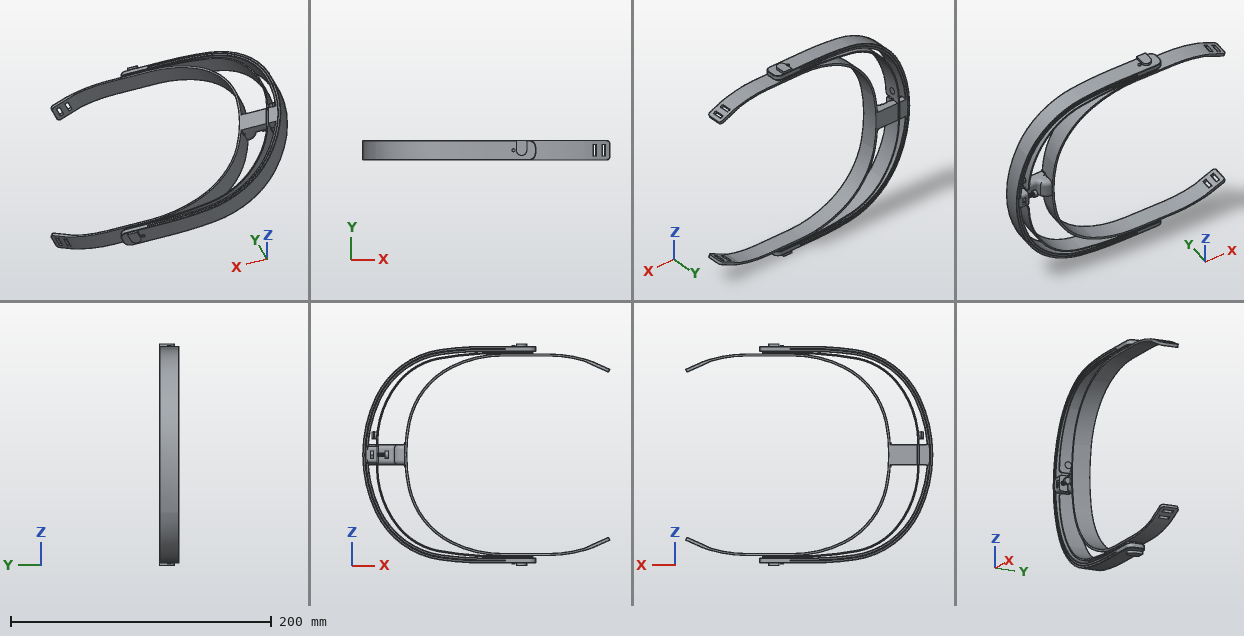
import cadquery as cq
import math

band_height = 15.0
overall_length = 189.75
far_x = 230.0
mid_y = band_height / 2

arm_outer_z = 83.19
frame_thickness = 4.0
leaf_thickness = 1.75
arm_inner_z = arm_outer_z - frame_thickness
arm_end_x = 132.9
arm_corner_radius = 5.2
slit_end_x = 109.4
edge_chamfer = 0.4

strip_outer_z = 78.7
strip_thickness = 1.1
strip_center_x = 10.5
strip_end_x = 130.6
strip_corner_radius = 5.0
strip_notch_depth = 8.5
strip_notch_half_width = 8.4
strip_notch_rounding = 2.5

headband_outer_z = 77.4
headband_thickness = 1.65
headband_center_x = 32.3
headband_straight_end_x = 142.6
tip_arc_radius = 100.0
tip_corner_radius = 2.5
tip_pad_thickness = 0.8
tip_ramp_start_x = 170.6
tip_ramp_middle_x = 172.9
tip_start_x = 176.3
strap_slot_length = 8.5
strap_slot_width = 2.7
strap_slot_offsets = (4.9, 12.4)

hub_half_width = 7.8
hub_rounding = 3.5
hub_flare = 1.6
block_start_x = 22.0
block_front_rounding = 2.3
block_depth = 4.2
lug_end_x = 11.1
lug_half_width = 6.3
lug_rounding = 2.1
clamp_groove_width = 1.2
clamp_groove_depth = 1.0
strip_slot_clearance = 0.3

bolt_diameter = 3.0
bolt_hole_diameter = 3.5
bolt_head_diameter = 5.5
bolt_head_start_x = 17.1
bolt_head_length = 2.6
bolt_channel_diameter = 6.5
bolt_y = bolt_channel_diameter / 2
bolt_end_x = 5.2
thread_pitch = 0.5
thread_core_diameter = 2.35
nut_start_x = 6.0
nut_thickness = 2.4
nut_across_flats = 5.5

knob_z = 14.9
knob_end_x = 7.1
knob_diameter = 5.5
knob_flange_diameter = 6.0
knob_flange_start_x = 8.2
knob_flange_thickness = 0.8

button_x = 122.0
button_width = 8.0
button_thickness = 2.0
peg_x = 115.8
peg_diameter = 2.35
peg_projection = 0.5

sides = (1, -1)

frame_curve = {"start_x": 0.0, "outer_z": arm_outer_z, "arcs": [(102.7, 25.7), (65.1, 81.9)]}
strip_curve = {
    "start_x": strip_center_x, "outer_z": strip_outer_z, "arcs": [(600.0, 1.0), (74.3, 38.8), (52.4, 79.7)],
}
headband_curve = {
    "start_x": headband_center_x, "outer_z": headband_outer_z, "arcs": [(124.3, 11.5), (62.3, 63.3)],
}
quarter_turn = math.pi / 2


def arc_points(curve):
    """Start of the upper half of a curve, then the middle and the end of each of its arcs."""
    x = curve["start_x"]
    z = 0.0
    turned = 0.0
    points = [(x, z)]
    arcs = [(radius, math.radians(degrees)) for radius, degrees in curve["arcs"]]
    for radius, end_angle in arcs + [(None, quarter_turn)]:
        if radius is None:
            radius = (curve["outer_z"] - z) / (1 - math.sin(turned))
        center_x = x + radius * math.cos(turned)
        center_z = z - radius * math.sin(turned)
        for angle in ((turned + end_angle) / 2, end_angle):
            points.append((center_x - radius * math.cos(angle), center_z + radius * math.sin(angle)))
        x, z = points[-1]
        turned = end_angle
    return points


def bow_region(curve, inset):
    """Everything inside a U-shaped curve, moved inwards by `inset`, over the full band height."""
    upper = arc_points(curve)
    lower = [(x, -z) for x, z in reversed(upper)]
    outline = cq.Workplane("XZ").moveTo(*upper[0])
    for middle, end in zip(upper[1::2], upper[2::2]):
        outline = outline.threePointArc(middle, end)
    outline = outline.lineTo(far_x, upper[-1][1]).lineTo(far_x, lower[0][1]).lineTo(*lower[0])
    for middle, end in zip(lower[1::2], lower[2::2]):
        outline = outline.threePointArc(middle, end)
    outline = outline.close()
    if inset:
        outline = outline.offset2D(-inset)
    return outline.extrude(-band_height)


def bow(curve, start_inset, end_inset):
    return bow_region(curve, start_inset).cut(bow_region(curve, end_inset))


def box_between(x0, x1, y0, y1, half_width):
    """Box centred on Z = 0."""
    return cq.Workplane("XY").box(x1 - x0, y1 - y0, 2 * half_width).translate(
        ((x0 + x1) / 2, (y0 + y1) / 2, 0)
    )


def x_cylinder(diameter, x0, x1, y, z):
    return cq.Workplane("YZ", origin=(x0, y, z)).circle(diameter / 2).extrude(x1 - x0)


def rounded_end(end_x, corner_radius):
    """Tall envelope whose far end, seen along Z, has rounded corners."""
    return box_between(-1, end_x, 0, band_height, far_x).edges("|Z and >X").fillet(corner_radius)


def make_bow_frame():
    frame = bow(frame_curve, 0, frame_thickness)
    frame = frame.intersect(rounded_end(arm_end_x, arm_corner_radius))
    slit = bow(frame_curve, leaf_thickness, frame_thickness - leaf_thickness)
    frame = frame.faces("<Y or >Y").chamfer(edge_chamfer)
    return frame.cut(slit.intersect(box_between(-1, slit_end_x, 0, band_height, far_x)))


def arc_point(x, radius):
    """Point on the upper strap's arc of the given radius, straight below or above x on the outer arc."""
    angle = math.asin((x - headband_straight_end_x) / tip_arc_radius)
    center_z = headband_outer_z - tip_arc_radius
    return headband_straight_end_x + radius * math.sin(angle), center_z + radius * math.cos(angle)


def tip_plane():
    """Plane at the end of the upper strap: local x along the strap, normal outwards."""
    end_x, end_z = arc_point(overall_length, tip_arc_radius)
    start_x, start_z = arc_point(tip_start_x, tip_arc_radius)
    along = (end_x - start_x, 0, end_z - start_z)
    return cq.Plane(origin=(end_x, mid_y, end_z), xDir=along, normal=(-along[2], 0, along[0]))


def make_upper_strap():
    """Curved end of the headband that thickens into a flat, slotted tip."""
    inner_radius = tip_arc_radius - headband_thickness
    tip_inner_radius = inner_radius - tip_pad_thickness
    middle_x = (headband_straight_end_x + tip_ramp_start_x) / 2
    plane = tip_plane()
    overrun = cq.Vector(*plane.xDir.toTuple()) * tip_pad_thickness
    outer_end = plane.origin + overrun
    inner_end = outer_end - plane.zDir * (headband_thickness + tip_pad_thickness)
    strap = (
        cq.Workplane("XZ")
        .moveTo(*arc_point(headband_straight_end_x, tip_arc_radius))
        .threePointArc(arc_point(middle_x, tip_arc_radius), arc_point(tip_ramp_start_x, tip_arc_radius))
        .lineTo(*arc_point(tip_ramp_middle_x, tip_arc_radius))
        .lineTo(*arc_point(tip_start_x, tip_arc_radius))
        .lineTo(outer_end.x, outer_end.z)
        .lineTo(inner_end.x, inner_end.z)
        .lineTo(*arc_point(tip_start_x, tip_inner_radius))
        .lineTo(*arc_point(tip_ramp_start_x, inner_radius))
        .threePointArc(arc_point(middle_x, inner_radius), arc_point(headband_straight_end_x, inner_radius))
        .close()
        .extrude(-band_height)
    )
    reach = overall_length - headband_straight_end_x + tip_corner_radius
    envelope = (
        cq.Workplane(plane)
        .center(-reach, 0)
        .rect(2 * reach, band_height)
        .extrude(reach, both=True)
        .edges(cq.selectors.ParallelDirSelector(plane.zDir))
        .edges(cq.selectors.DirectionMinMaxSelector(plane.xDir, True))
        .fillet(tip_corner_radius)
    )
    slots = (
        cq.Workplane(plane)
        .pushPoints([(-offset, 0) for offset in strap_slot_offsets])
        .rect(strap_slot_width, strap_slot_length)
        .extrude(tip_corner_radius * 2, both=True)
    )
    return strap.intersect(envelope).cut(slots)


def make_headband():
    headband = bow(headband_curve, 0, headband_thickness)
    headband = headband.intersect(box_between(0, headband_straight_end_x, 0, band_height, far_x))
    strap = make_upper_strap()
    return headband.union(strap).union(strap.mirror("XY"))


def hub_flares(wall_x, direction):
    """Concave fillets, as tall as the hub's sides, where the hub meets a band."""
    flares = cq.Workplane("XY")
    for side in sides:
        edge_z = side * hub_half_width
        corner = (
            cq.Workplane("XZ", origin=(0, bolt_channel_diameter + hub_rounding, 0))
            .moveTo(wall_x, edge_z)
            .lineTo(wall_x + direction * hub_flare, edge_z)
            .radiusArc((wall_x, edge_z + side * hub_flare), side * direction * hub_flare)
            .close()
            .extrude(bolt_channel_diameter + hub_rounding - band_height)
        )
        flares = flares.add(corner)
    return flares


def make_block():
    """Block whose front rises in a rounded step, then sweeps up to the headband's front edge."""
    sweep_start_x = block_start_x + block_front_rounding
    run = headband_center_x - sweep_start_x
    sweep_radius = (run**2 + block_depth**2) / (2 * block_depth)
    block = (
        cq.Workplane("XY")
        .moveTo(block_start_x, band_height)
        .lineTo(block_start_x, block_depth + block_front_rounding)
        .radiusArc((sweep_start_x, block_depth), block_front_rounding)
        .radiusArc((headband_center_x, 0), -sweep_radius)
        .lineTo(headband_center_x, band_height)
        .close()
        .extrude(hub_half_width, both=True)
    )
    front_edges = cq.selectors.BoxSelector(
        (block_start_x + block_front_rounding / 2, 0, -far_x), (headband_center_x, band_height / 2, far_x)
    )
    return block.faces("<Z or >Z").edges(front_edges).edges("not |Z").edges("not |Y").fillet(hub_rounding)


def make_hub():
    frame_wall_x = frame_thickness - leaf_thickness / 2
    headband_wall_x = headband_center_x + headband_thickness / 2
    bar = box_between(frame_wall_x, headband_wall_x, bolt_channel_diameter, band_height, hub_half_width)
    bar = bar.edges("|X and <Y").fillet(hub_rounding)
    block = make_block()
    lug = box_between(frame_wall_x, lug_end_x, 0, bolt_channel_diameter + hub_rounding, lug_half_width)
    lug = lug.edges("|X and <Y").fillet(lug_rounding)
    hub = bar.union(block).union(lug)
    hub = hub.union(hub_flares(frame_thickness, 1)).union(hub_flares(headband_center_x, -1))

    groove_bottom = bolt_channel_diameter + clamp_groove_depth
    groove = box_between(lug_end_x, lug_end_x + clamp_groove_width, 0, groove_bottom, lug_half_width)
    strip_slot = box_between(
        strip_center_x - strip_slot_clearance,
        strip_center_x + strip_thickness + 2 * strip_slot_clearance,
        strip_notch_depth, band_height, hub_half_width,
    )
    bolt_hole = x_cylinder(bolt_hole_diameter, bolt_end_x, lug_end_x, bolt_y, 0)
    pocket = nut_prism().union(
        box_between(nut_start_x, nut_start_x + nut_thickness, 0, bolt_y, nut_across_flats / 2)
    )
    for cutter in (groove, strip_slot, bolt_hole, pocket):
        hub = hub.cut(cutter)
    return hub


def nut_prism():
    across_corners = nut_across_flats / math.cos(math.pi / 6)
    start = cq.Workplane("YZ", origin=(nut_start_x, bolt_y, 0))
    return start.polygon(6, across_corners).extrude(nut_thickness)


def peg_cylinder(side):
    plane = cq.Plane(origin=(peg_x, mid_y, side * arm_inner_z), xDir=(1, 0, 0), normal=(0, 0, side))
    return cq.Workplane(plane).circle(peg_diameter / 2).extrude(frame_thickness + peg_projection)


def make_frame():
    """Visor frame, hub and headband in one piece."""
    frame = make_bow_frame().union(make_hub()).union(make_headband())
    for side in sides:
        frame = frame.cut(peg_cylinder(side))
    return frame


def knob_cylinder():
    return x_cylinder(knob_diameter, knob_end_x, strip_center_x + 1.0, mid_y, knob_z)


def make_strip():
    strip = bow(strip_curve, 0, strip_thickness)
    strip = strip.intersect(rounded_end(strip_end_x, strip_corner_radius))
    w = strip_notch_half_width
    r = strip_notch_rounding
    notch = (
        cq.Workplane("YZ")
        .moveTo(0, -w - r)
        .radiusArc((r, -w), r)
        .lineTo(strip_notch_depth, -w)
        .lineTo(strip_notch_depth, w)
        .lineTo(r, w)
        .radiusArc((0, w + r), r)
        .close()
        .extrude(block_start_x)
    )
    return strip.cut(notch)


def make_knob():
    knob = knob_cylinder()
    flange = x_cylinder(
        knob_flange_diameter, knob_flange_start_x, knob_flange_start_x + knob_flange_thickness, mid_y, knob_z
    )
    return knob.union(flange)


def make_bolt():
    head_end_x = bolt_head_start_x + bolt_head_length
    shaft = x_cylinder(bolt_diameter, bolt_end_x, bolt_head_start_x, bolt_y, 0)
    head = x_cylinder(bolt_head_diameter, bolt_head_start_x, head_end_x, bolt_y, 0)
    bolt = shaft.union(head)
    groove_x = lug_end_x + thread_pitch
    while groove_x < bolt_head_start_x - thread_pitch:
        outside = x_cylinder(bolt_head_diameter, groove_x, groove_x + thread_pitch / 2, bolt_y, 0)
        core = x_cylinder(thread_core_diameter, groove_x, groove_x + thread_pitch / 2, bolt_y, 0)
        bolt = bolt.cut(outside.cut(core))
        groove_x += thread_pitch
    return bolt


def make_nut():
    bore = x_cylinder(bolt_diameter, nut_start_x, nut_start_x + nut_thickness, bolt_y, 0)
    return nut_prism().cut(bore)


def make_button(side):
    plane = cq.Plane(origin=(button_x, mid_y, side * arm_outer_z), xDir=(0, 1, 0), normal=(0, 0, side))
    r = button_width / 2
    return (
        cq.Workplane(plane)
        .moveTo(mid_y, r)
        .lineTo(0, r)
        .threePointArc((-r, 0), (0, -r))
        .lineTo(mid_y, -r)
        .close()
        .extrude(button_thickness)
    )


knob = make_knob()
frame = make_frame()
strip = make_strip().cut(knob)
bolt = make_bolt()
nut = make_nut()
buttons = [make_button(side) for side in sides]
pegs = [peg_cylinder(side) for side in sides]

result = cq.Compound.makeCompound(
    [frame.val(), strip.val(), bolt.val(), nut.val(), knob.val()]
    + [button.val() for button in buttons]
    + [peg.val() for peg in pegs]
)